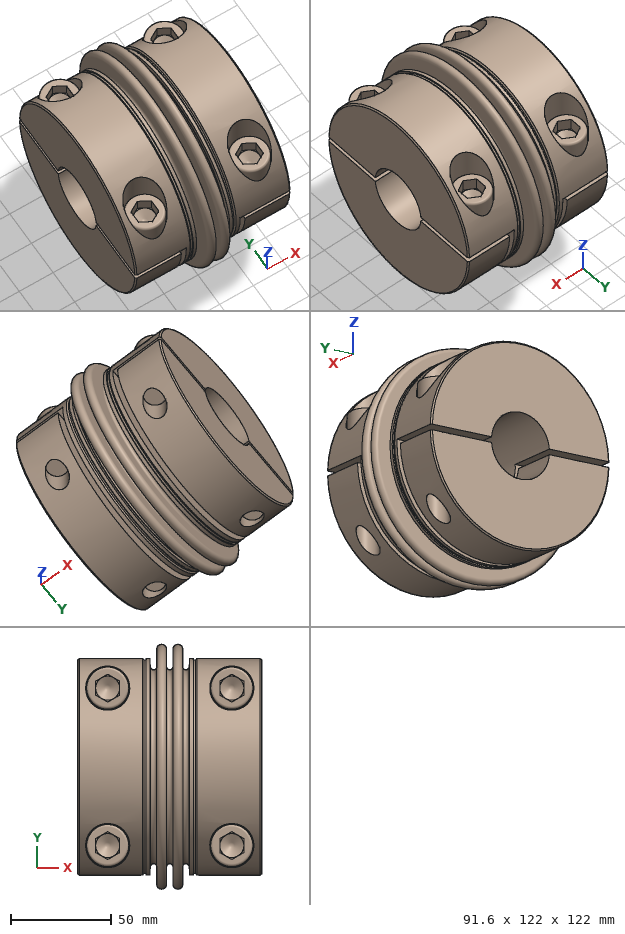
import cadquery as cq
import math

coupling_length = 91.6
bore_diameter = 35.0
half_length = coupling_length / 2
bore_radius = bore_diameter / 2

crest_outer_radius = 61.0
valley_floor_radius = 48.3
crest_pitch = 8.0
crest_round = 2.5
valley_round = crest_pitch / 2 - crest_round
bellows_half_length = crest_pitch + valley_round
end_wall_radius = 50.6

hub_radius = 108.0 / 2
groove_radius = 106.4 / 2
hub_chamfer = hub_radius - groove_radius
collar_inner_x = 9.8
collar_outer_x = 11.7
hub_inner_x = 12.8

slit_width = 2.9
flange_face_x = 15.9

screw_x = 30.9
screw_y = 39.2
screw_diameter = 14.0
clearance_diameter = 15.0
counterbore_diameter = 22.0
tapped_hole_diameter = 12.0
head_diameter = 21.0
head_height = screw_diameter
head_top_z = 30.1
head_round = 1.3
head_seat_z = head_top_z - head_height
shank_length = 40.0
socket_width = 12.0
socket_depth = 7.0
socket_cone_angle = 120.0


def make_body():
    """Outline of hubs, collars and bellows, drawn from -X to +X and revolved about the X axis."""
    crest_centre_radius = crest_outer_radius - crest_round
    valley_centre_radius = valley_floor_radius + valley_round

    end_points = [
        (half_length, bore_radius),
        (half_length, hub_radius - hub_chamfer),
        (half_length - hub_chamfer, hub_radius),
        (hub_inner_x + hub_chamfer, hub_radius),
        (hub_inner_x, groove_radius),
        (collar_outer_x, groove_radius),
        (collar_outer_x, hub_radius),
        (collar_inner_x, hub_radius),
        (collar_inner_x, end_wall_radius),
        (bellows_half_length, end_wall_radius),
        (bellows_half_length, valley_centre_radius),
    ]
    outline = cq.Workplane("XY").polyline([(-x, radius) for x, radius in end_points])

    for valley_x in (-crest_pitch, 0, crest_pitch):
        valley_end = (valley_x + valley_round, valley_centre_radius)
        outline = outline.threePointArc((valley_x, valley_floor_radius), valley_end)
        if valley_x < crest_pitch:
            crest_x = valley_x + crest_pitch / 2
            crest_end = (crest_x + crest_round, crest_centre_radius)
            outline = (
                outline.lineTo(crest_x - crest_round, crest_centre_radius)
                .threePointArc((crest_x, crest_outer_radius), crest_end)
                .lineTo(crest_end[0], valley_centre_radius)
            )

    for x, radius in reversed(end_points[:-1]):
        outline = outline.lineTo(x, radius)
    return outline.close().revolve(360, (0, 0, 0), (1, 0, 0))


def make_clamp_cuts(side):
    """Slit on the axis plane and a gap below it, for the hub on one side (-1 or 1)."""
    across = 2 * crest_outer_radius
    slit_length = half_length - flange_face_x
    slit = cq.Workplane("XY").box(slit_length, across, slit_width)
    slit = slit.translate((side * (flange_face_x + slit_length / 2), 0, 0))
    gap = cq.Workplane("XY").box(slit_width, across, crest_outer_radius)
    gap = gap.translate((side * (flange_face_x + slit_width / 2), 0, -crest_outer_radius / 2))
    return slit.union(gap)


def vertical_cylinder(diameter, bottom_z, top_z):
    return cq.Workplane("XY").workplane(offset=bottom_z).circle(diameter / 2).extrude(top_z - bottom_z)


def make_screw_hole():
    """Counterbore and clearance hole above the slit, tapped hole through the lower half."""
    counterbore = vertical_cylinder(counterbore_diameter, head_seat_z, crest_outer_radius)
    clearance = vertical_cylinder(clearance_diameter, 0, head_seat_z)
    tapped = vertical_cylinder(tapped_hole_diameter, -crest_outer_radius, 0)
    return counterbore.union(clearance).union(tapped)


def make_screw():
    """Socket head screw; the hex socket ends in a cone and has two corners along Y."""
    head = vertical_cylinder(head_diameter, head_seat_z, head_top_z).faces(">Z").edges().fillet(head_round)
    shank = vertical_cylinder(screw_diameter, head_seat_z - shank_length, head_seat_z)

    socket_radius = socket_width / 2
    socket_corners = socket_width / math.cos(math.pi / 6)
    socket_floor_z = head_top_z - socket_depth
    cone_depth = socket_radius / math.tan(math.radians(socket_cone_angle / 2))
    socket = (
        cq.Workplane("XY")
        .workplane(offset=socket_floor_z)
        .transformed(rotate=(0, 0, 90))
        .polygon(6, socket_corners)
        .extrude(socket_depth)
    )
    cone = cq.Workplane(
        cq.Solid.makeCone(
            socket_radius, 0, cone_depth, cq.Vector(0, 0, socket_floor_z), cq.Vector(0, 0, -1)
        )
    )
    return head.union(shank).cut(socket).cut(cone)


result = make_body()
screw_hole = make_screw_hole()
screw = make_screw()

for side in (-1, 1):
    result = result.cut(make_clamp_cuts(side))
    for screw_side in (-1, 1):
        position = (side * screw_x, screw_side * screw_y, 0)
        result = result.cut(screw_hole.translate(position))
        result = result.union(screw.translate(position))